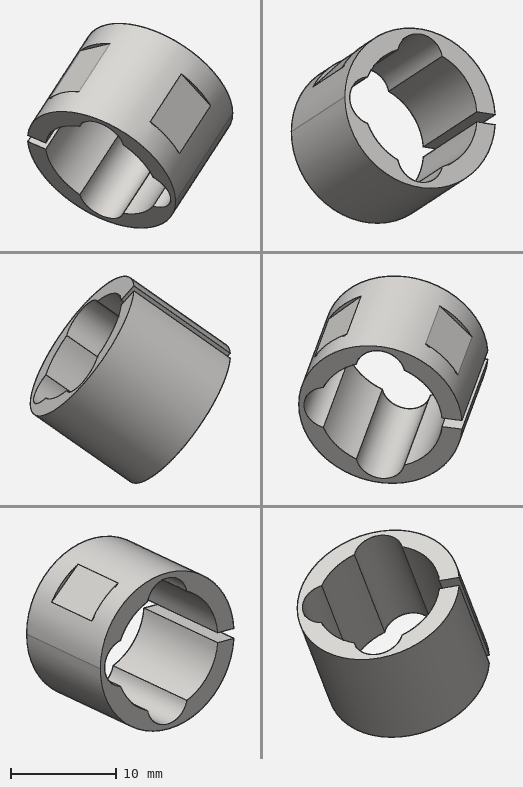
import cadquery as cq

outer_diameter = 15.88
outer_radius = outer_diameter / 2
bore_radius = 6.0
ring_length = 11.69

lobe_radius = 2.38
lobe_reach = 7.42
lobe_offset = lobe_reach - lobe_radius
lobe_directions = [(0, 1), (1, 0), (0, -1)]

slit_width = 1.0

flat_distance = 7.62
flat_length = 6.35
flat_tilts = [-45, 45]


def cylinder_along_y(radius, x=0, z=0):
    """Cylinder of the ring's length with its axis at (x, z)."""
    return (
        cq.Workplane("XZ", origin=(0, ring_length / 2, 0))
        .center(x, z)
        .circle(radius)
        .extrude(ring_length)
    )


def slit_cutter():
    """Block through the -X wall, ending inside the bore."""
    block = cq.Workplane("XY").box(outer_radius, ring_length, slit_width)
    return block.translate((-outer_radius, 0, 0))


def flat_cutter(tilt):
    """Block whose lower face forms a flat, turned about the ring axis."""
    block = cq.Workplane("XY").workplane(offset=flat_distance)
    block = block.rect(outer_radius, flat_length).extrude(outer_radius - flat_distance)
    return block.rotate((0, 0, 0), (0, 1, 0), tilt)


result = cylinder_along_y(outer_radius).cut(cylinder_along_y(bore_radius))

for direction_x, direction_z in lobe_directions:
    lobe = cylinder_along_y(lobe_radius, direction_x * lobe_offset, direction_z * lobe_offset)
    result = result.cut(lobe)

result = result.cut(slit_cutter())

for tilt in flat_tilts:
    result = result.cut(flat_cutter(tilt))